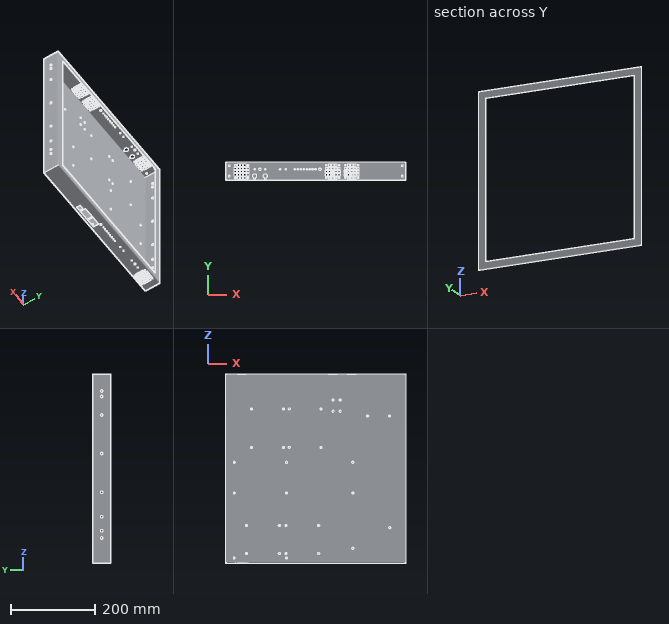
import cadquery as cq

WIDTH = 428.0
DEPTH = 43.69
HEIGHT = 450.0
SHEET = 1.5
BEND_RADIUS = 2.5
SEAM_RADIUS = 1.75
LIP_WIDTH = 20.0

FRONT_HOLE_DIAMETER = 4.2
FRONT_HOLE_GROUPS = [
    ((41.0, 57.8), (162.8, 136.2)),
    ((-152.4, -76.2, -62.8, 12.6), (141.5, 50.3)),
    ((123.1, 175.0), (124.8,)),
    ((-193.5, -69.5), (15.0, -57.8, -211.9)),
    ((87.9,), (15.0, -57.8, -189.0)),
    ((-164.0, -86.3, -70.5, 6.9), (-134.8, -201.0)),
    ((175.7,), (-139.9,)),
]

SIDE_HOLE_DIAMETER = 5.5
SIDE_HOLE_HEIGHTS = (184.3, 170.9, 127.3, 36.0, -56.0, -113.9, -147.4, -164.2)

VENT_COUNT = 5
VENT_PITCH = 7.5
VENT_CENTER_Y = -1.0
VENT_HOLE_SIDE = 5.2
VENT_CORNER_DIAMETER = 3.5
LEFT_VENT_X = -175.9
TOP_ONLY_VENTS_X = (40.2, 85.4)

INDICATOR_Y = 4.4
INDICATOR_DIAMETER = 3.0
INDICATOR_COUNT = 8
INDICATOR_PITCH = 7.0
FIRST_INDICATOR_X = -49.6
SINGLE_INDICATORS_X = (-144.9, -119.8, -84.6, -71.2)
BUTTON_DIAMETER = 5.0
BUTTONS_X = (-132.3, 10.1)

CONNECTORS_X = (-144.9, -119.8)
CONNECTOR_Y = -11.2
CONNECTOR_DIAMETER = 10.0
KEY_WIDTH = 3.4
KEY_END_Y = -18.5

SCREW_DIAMETER = 4.0
SCREW_X = 205.2
SCREW_CENTER_Y = 0.5
SCREW_SPACING_Y = 24.4

PORTS = [
    (14.0, 38.5, -14.0, 1.0),
    (41.0, 69.5, -14.0, 1.0),
    (72.5, 84.6, -14.0, -4.0),
]

CUT_DEPTH = 2 * SHEET
THROUGH_BOTH = HEIGHT


def bent_box(width, depth, height, bend_radius):
    """Box with rounded bends all round its front and back faces."""
    box = cq.Workplane("XY").box(width, depth, height)
    return box.edges("|X or |Z").fillet(bend_radius)


def make_shell():
    outside = bent_box(WIDTH, DEPTH, HEIGHT, BEND_RADIUS).edges("|Y").fillet(SEAM_RADIUS)
    inside = bent_box(
        WIDTH - 2 * SHEET, DEPTH - 2 * SHEET, HEIGHT - 2 * SHEET, BEND_RADIUS - SHEET
    )
    back_opening = (
        cq.Workplane("XY")
        .box(WIDTH - 2 * LIP_WIDTH, DEPTH / 2, HEIGHT - 2 * LIP_WIDTH)
        .translate((0, DEPTH / 2, 0))
    )
    return outside.cut(inside).cut(back_opening)


def top_cutters(points, diameter, depth=CUT_DEPTH):
    """Round cutters going down from the top face at the given (x, y) points."""
    return (
        cq.Workplane("XY", origin=(0, 0, HEIGHT / 2))
        .pushPoints(points)
        .circle(diameter / 2)
        .extrude(-depth)
    )


def cut_vent(body, center_x, depth):
    """Grid of square holes with a round screw hole at each of its four corners."""
    last = VENT_COUNT - 1
    field = []
    corners = []
    for column in range(VENT_COUNT):
        for row in range(VENT_COUNT):
            x = center_x + (column - last / 2) * VENT_PITCH
            y = VENT_CENTER_Y + (row - last / 2) * VENT_PITCH
            is_corner = column in (0, last) and row in (0, last)
            if is_corner:
                corners.append((x, y))
            else:
                field.append((x, y))
    squares = (
        cq.Workplane("XY", origin=(0, 0, HEIGHT / 2))
        .pushPoints(field)
        .rect(VENT_HOLE_SIDE, VENT_HOLE_SIDE)
        .extrude(-depth)
    )
    body = body.cut(squares)
    return body.cut(top_cutters(corners, VENT_CORNER_DIAMETER, depth))


def cut_front_holes(body):
    points = [(x, z) for columns, rows in FRONT_HOLE_GROUPS for x in columns for z in rows]
    cutters = (
        cq.Workplane("XZ", origin=(0, -DEPTH / 2, 0))
        .pushPoints(points)
        .circle(FRONT_HOLE_DIAMETER / 2)
        .extrude(-CUT_DEPTH)
    )
    return body.cut(cutters)


def cut_side_holes(body):
    cutters = (
        cq.Workplane("YZ")
        .pushPoints([(0, z) for z in SIDE_HOLE_HEIGHTS])
        .circle(SIDE_HOLE_DIAMETER / 2)
        .extrude(WIDTH, both=True)
    )
    return body.cut(cutters)


def cut_indicator_row(body):
    row = [FIRST_INDICATOR_X + i * INDICATOR_PITCH for i in range(INDICATOR_COUNT)]
    indicators = [(x, INDICATOR_Y) for x in (*SINGLE_INDICATORS_X, *row)]
    buttons = [(x, INDICATOR_Y) for x in BUTTONS_X]
    body = body.cut(top_cutters(indicators, INDICATOR_DIAMETER, THROUGH_BOTH))
    return body.cut(top_cutters(buttons, BUTTON_DIAMETER, THROUGH_BOTH))


def cut_connectors(body):
    """Round holes, each with a narrow key slot running toward the front sheet."""
    key_length = CONNECTOR_Y - KEY_END_Y
    keys = (
        cq.Workplane("XY", origin=(0, 0, HEIGHT / 2))
        .pushPoints([(x, CONNECTOR_Y - key_length / 2) for x in CONNECTORS_X])
        .rect(KEY_WIDTH, key_length)
        .extrude(-CUT_DEPTH)
    )
    holes = top_cutters([(x, CONNECTOR_Y) for x in CONNECTORS_X], CONNECTOR_DIAMETER)
    return body.cut(holes).cut(keys)


def cut_screw_holes(body):
    rows = [SCREW_CENTER_Y + side * SCREW_SPACING_Y / 2 for side in (-1, 1)]
    points = [(x, y) for x in (-SCREW_X, SCREW_X) for y in rows]
    return body.cut(top_cutters(points, SCREW_DIAMETER))


def cut_ports(body):
    for left, right, lower, upper in PORTS:
        cutter = (
            cq.Workplane("XY", origin=(0, 0, -HEIGHT / 2))
            .center((left + right) / 2, (lower + upper) / 2)
            .rect(right - left, upper - lower)
            .extrude(CUT_DEPTH)
        )
        body = body.cut(cutter)
    return body


chassis = make_shell()
chassis = cut_front_holes(chassis)
chassis = cut_side_holes(chassis)
chassis = cut_vent(chassis, LEFT_VENT_X, THROUGH_BOTH)
for vent_x in TOP_ONLY_VENTS_X:
    chassis = cut_vent(chassis, vent_x, CUT_DEPTH)
chassis = cut_indicator_row(chassis)
chassis = cut_connectors(chassis)
chassis = cut_screw_holes(chassis)
chassis = cut_ports(chassis)

result = chassis